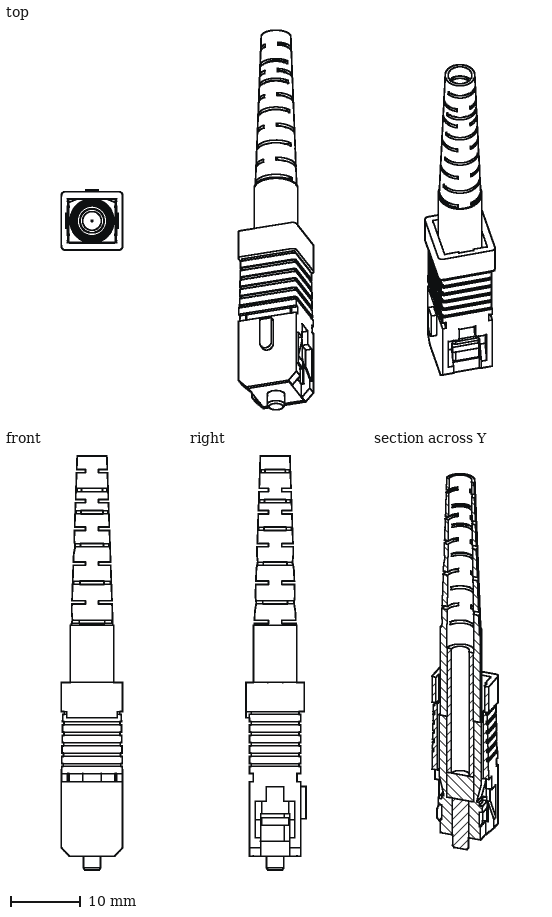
import cadquery as cq

CUT = 1.0

HOUSING_X = 8.81
BLOCK_Y = 7.35
HEAD_Y = 8.4
FRONT_CHAMFER_X = 1.2
FRONT_CHAMFER_Z = 1.25
NECK_BOTTOM = 10.73
NECK_TOP = 11.85
GRIP_BOTTOM = 12.9
GRIP_TOP = 20.75
GRIP_TOP_X = 8.4
GRIP_CORNER = 0.35
HEAD_TOP = 24.95
HEAD_CORNER = 0.6
LIP_BOTTOM = 19.86
LIP_X = 7.2

GROOVE_COUNT = 6
GROOVE_PITCH = 1.5
GROOVE_WIDTH = 0.45
GROOVE_DEPTH = 0.22
FIRST_GROOVE_Z = 13.07

BORE_X = 7.0
BORE_Y = 6.3
TIP_X = 6.24
TIP_TOP = 2.15
RELIEF_X = 7.45
RELIEF_Y = 2.15

WINDOW_Y = 4.12
WINDOW_TOP = 7.87
UPPER_WINDOW_Y = 2.5
UPPER_WINDOW_TOP = 10.0
SLIT_Y = 5.65
SLIT_RAMP_TOP = 5.27
SLIT_RAMP_BOTTOM = 2.68

KEY_X = 1.75
KEY_BOTTOM = 5.37
KEY_TOP = 10.05
KEY_OUTER_Y = 8.65 - HEAD_Y / 2

FRAME_X = 6.6
FRAME_Y = 6.26
FRAME_TOP = 19.0
FRAME_CHAMFER_X = 1.15
FRAME_CHAMFER_Y = 0.5
FRAME_CHAMFER_BOTTOM = 12.0
FRAME_GROOVE_X = 2.68
FRAME_GROOVE_DEPTH = 0.15
RECESS_FLOOR_X = 2.95
RECESS_RAMP_FLOOR_X = 2.55
RECESS_RAMP_BOTTOM = 6.08
RECESS_RAMP_TOP = 9.1
RECESS_SLOPE_START_Y = 1.34
RECESS_SLOPE_DROP = 0.4
CATCH_BOTTOM = 4.47
CATCH_TOP = 5.55
CATCH_OUTER_X = 3.45
CATCH_Y = 3.85

FERRULE_RADIUS = 1.25
FERRULE_TIP_Z = -1.97
FERRULE_TOP = 6.0
FERRULE_CHAMFER_RADIAL = 0.22
FERRULE_CHAMFER_AXIAL = 0.35
HOLDER_TOP = 10.0
FIBRE_HOLE_RADIUS = 0.1
TUBE_OUTER_RADIUS = 2.05
TUBE_BORE_RADIUS = 1.34
TUBE_TOP = 30.0

BOOT_RADIUS = 3.13
BOOT_TOP = FERRULE_TIP_Z + 59.36
CONE_BOTTOM = 33.15
CONE_BOTTOM_RADIUS = 3.0
CONE_TOP_RADIUS = 2.14
BOOT_TOP_BORE_RADIUS = 1.7
SLOT_HEIGHT = 0.45
SLOT_RIB_WIDTH = 1.9
X_SIDE_SLOTS_Z = (36.4, 41.95, 46.95, 50.9, 55.2)
Y_SIDE_SLOTS_Z = (33.6, 39.2, 44.6, 49.3, 52.5)


def box(x, y, z_bottom, z_top):
    """A box centred on the Z axis."""
    return cq.Workplane("XY").workplane(offset=z_bottom).rect(x, y).extrude(z_top - z_bottom)


def span(x_range, y_range, z_range):
    """A box between two coordinates on each axis."""
    low, high = zip(x_range, y_range, z_range)
    size = [b - a for a, b in zip(low, high)]
    return cq.Workplane("XY").box(*size, centered=False).translate(low)


def cylinder(radius, z_bottom, z_top):
    return cq.Workplane("XY").workplane(offset=z_bottom).circle(radius).extrude(z_top - z_bottom)


def side_prism(points, width):
    """An XZ outline extruded along Y, centred on the XZ plane."""
    return cq.Workplane("XZ").polyline(points).close().extrude(width / 2, both=True)


def mirrored_pair(shape):
    """A shape on the +X side together with its mirror image on the -X side."""
    return shape.union(shape.mirror("YZ"))


def front_block():
    half = HOUSING_X / 2
    outline = [
        (half - FRONT_CHAMFER_X, 0),
        (half, FRONT_CHAMFER_Z),
        (half, NECK_BOTTOM),
        (-half, NECK_BOTTOM),
        (-half, FRONT_CHAMFER_Z),
        (FRONT_CHAMFER_X - half, 0),
    ]
    return side_prism(outline, BLOCK_Y)


def tapered_x(z):
    """Width along X of the part that narrows from the neck up to the head."""
    share = (z - NECK_BOTTOM) / (GRIP_TOP - NECK_BOTTOM)
    return HOUSING_X + share * (GRIP_TOP_X - HOUSING_X)


def tapered_length(z_bottom, z_top):
    return (
        cq.Workplane("XY")
        .workplane(offset=z_bottom)
        .rect(tapered_x(z_bottom), BLOCK_Y)
        .workplane(offset=z_top - z_bottom)
        .rect(tapered_x(z_top), BLOCK_Y)
        .loft(ruled=True)
    )


def grip_groove(z):
    """A ring that cuts one groove around the grip."""
    local_x = tapered_x(z)
    bottom = z - GROOVE_WIDTH / 2
    top = z + GROOVE_WIDTH / 2
    core = box(local_x - 2 * GROOVE_DEPTH, BLOCK_Y - 2 * GROOVE_DEPTH, bottom, top)
    return box(HOUSING_X + CUT, BLOCK_Y + CUT, bottom, top).cut(core)


def grip():
    body = tapered_length(GRIP_BOTTOM, GRIP_TOP).edges("not(|X or |Y)").fillet(GRIP_CORNER)
    for i in range(GROOVE_COUNT):
        body = body.cut(grip_groove(FIRST_GROOVE_Z + i * GROOVE_PITCH))
    return body


def head():
    body = box(HOUSING_X, HEAD_Y, GRIP_TOP, HEAD_TOP).edges("|Z").fillet(HEAD_CORNER)
    lip = span((-LIP_X / 2, LIP_X / 2), (-HEAD_Y / 2, -BORE_Y / 2), (LIP_BOTTOM, GRIP_TOP))
    return body.union(lip)


def polarising_key():
    """A key on the +Y face with a fully rounded lower end."""
    radius = KEY_X / 2
    return (
        cq.Workplane("XZ", origin=(0, BORE_Y / 2, 0))
        .moveTo(-radius, KEY_TOP)
        .lineTo(radius, KEY_TOP)
        .lineTo(radius, KEY_BOTTOM + radius)
        .threePointArc((0, KEY_BOTTOM), (-radius, KEY_BOTTOM + radius))
        .close()
        .extrude(BORE_Y / 2 - KEY_OUTER_Y)
    )


def neck_openings():
    """Slots across both Y walls that open the bore."""
    slot = span((-HOUSING_X, HOUSING_X), (BORE_Y / 2, HEAD_Y), (NECK_BOTTOM, NECK_TOP))
    return slot.union(slot.mirror("XZ"))


def side_window():
    """The stepped +X window, with a ramped slit along each side."""
    inner = TIP_X / 2
    outer = HOUSING_X / 2
    main = span((inner, outer + CUT), (-WINDOW_Y / 2, WINDOW_Y / 2), (-CUT, WINDOW_TOP))
    upper = span(
        (inner, outer + CUT), (-UPPER_WINDOW_Y / 2, UPPER_WINDOW_Y / 2), (WINDOW_TOP, UPPER_WINDOW_TOP)
    )
    slit_outline = [
        (inner, WINDOW_TOP),
        (inner, SLIT_RAMP_TOP),
        (BORE_X / 2, SLIT_RAMP_TOP),
        (outer, SLIT_RAMP_BOTTOM),
        (outer, WINDOW_TOP),
    ]
    return main.union(upper).union(side_prism(slit_outline, SLIT_Y))


def make_housing():
    bore = box(BORE_X, BORE_Y, TIP_TOP, HEAD_TOP + CUT)
    bore = bore.union(box(TIP_X, BORE_Y, -CUT, TIP_TOP))
    bore = bore.union(box(RELIEF_X, RELIEF_Y, GRIP_TOP, HEAD_TOP + CUT))
    neck = tapered_length(NECK_BOTTOM, GRIP_BOTTOM)
    body = front_block().union(neck).union(grip()).union(head()).union(polarising_key())
    return body.cut(bore).cut(neck_openings()).cut(mirrored_pair(side_window()))


def frame_recess():
    """The +X recess: a floor that slopes off toward +Y, below a ramp up to the frame's side face."""
    side = FRAME_X / 2
    half_y = WINDOW_Y / 2
    floor = (
        cq.Workplane("XY")
        .workplane(offset=TIP_TOP)
        .polyline([
            (side + CUT, -half_y),
            (RECESS_FLOOR_X, -half_y),
            (RECESS_FLOOR_X, RECESS_SLOPE_START_Y),
            (RECESS_FLOOR_X - RECESS_SLOPE_DROP, half_y),
            (side + CUT, half_y),
        ])
        .close()
        .extrude(RECESS_RAMP_BOTTOM - TIP_TOP)
    )
    ramp = side_prism(
        [(RECESS_RAMP_FLOOR_X, RECESS_RAMP_BOTTOM), (side, RECESS_RAMP_BOTTOM), (side, RECESS_RAMP_TOP)],
        CATCH_Y,
    )
    return floor.union(ramp)


def frame_catch():
    """A bar across the +X recess that catches the mating adapter."""
    return span(
        (RECESS_FLOOR_X - RECESS_SLOPE_DROP, CATCH_OUTER_X),
        (-CATCH_Y / 2, CATCH_Y / 2),
        (CATCH_BOTTOM, CATCH_TOP),
    )


def frame_corner():
    """The +X +Y corner cut off the upper part of the frame."""
    side = FRAME_X / 2
    back = FRAME_Y / 2
    return (
        cq.Workplane("XY")
        .workplane(offset=FRAME_CHAMFER_BOTTOM)
        .polyline([(side, back - FRAME_CHAMFER_Y), (side, back), (side - FRAME_CHAMFER_X, back)])
        .close()
        .extrude(FRAME_TOP - FRAME_CHAMFER_BOTTOM)
    )


def make_plug_frame():
    body = box(FRAME_X, FRAME_Y, TIP_TOP, FRAME_TOP).union(box(TIP_X, FRAME_Y, 0, TIP_TOP))
    body = body.cut(mirrored_pair(frame_recess())).union(mirrored_pair(frame_catch()))
    body = body.cut(mirrored_pair(frame_corner()))
    face_groove = span(
        (-FRAME_GROOVE_X / 2, FRAME_GROOVE_X / 2),
        (-FRAME_Y / 2 - CUT, -FRAME_Y / 2 + FRAME_GROOVE_DEPTH),
        (TIP_TOP, FRAME_TOP),
    )
    body = body.cut(face_groove)
    body = body.cut(cylinder(FERRULE_RADIUS, -CUT, FERRULE_TOP))
    return body.cut(cylinder(TUBE_OUTER_RADIUS, FERRULE_TOP, FRAME_TOP + CUT))


def make_ferrule():
    body = cylinder(FERRULE_RADIUS, FERRULE_TIP_Z, FERRULE_TOP)
    return body.faces("<Z").chamfer(FERRULE_CHAMFER_AXIAL, FERRULE_CHAMFER_RADIAL)


def make_ferrule_holder():
    body = cylinder(TUBE_OUTER_RADIUS, FERRULE_TOP, HOLDER_TOP)
    return body.cut(cylinder(FIBRE_HOLE_RADIUS, FERRULE_TOP, HOLDER_TOP))


def make_crimp_tube():
    body = cylinder(TUBE_OUTER_RADIUS, HOLDER_TOP, TUBE_TOP)
    return body.cut(cylinder(TUBE_BORE_RADIUS, HOLDER_TOP, TUBE_TOP))


def boot_slot(z):
    """Slots from both X sides that leave a rib at the -Y side and one at the +Y side."""
    slot = span(
        (SLOT_RIB_WIDTH / 2, BOOT_RADIUS + CUT),
        (-BOOT_RADIUS - CUT, BOOT_RADIUS + CUT),
        (z - SLOT_HEIGHT / 2, z + SLOT_HEIGHT / 2),
    )
    return mirrored_pair(slot)


def make_boot():
    body = (
        cq.Workplane("XZ")
        .polyline([
            (TUBE_OUTER_RADIUS, FRAME_TOP),
            (BOOT_RADIUS, FRAME_TOP),
            (BOOT_RADIUS, CONE_BOTTOM),
            (CONE_BOTTOM_RADIUS, CONE_BOTTOM),
            (CONE_TOP_RADIUS, BOOT_TOP),
            (BOOT_TOP_BORE_RADIUS, BOOT_TOP),
            (TUBE_OUTER_RADIUS, CONE_BOTTOM),
        ])
        .close()
        .revolve(360, (0, 0, 0), (0, 1, 0))
    )
    for z in X_SIDE_SLOTS_Z:
        body = body.cut(boot_slot(z))
    for z in Y_SIDE_SLOTS_Z:
        body = body.cut(boot_slot(z).rotate((0, 0, 0), (0, 0, 1), 90))
    return body


housing = make_housing()
plug_frame = make_plug_frame()
ferrule = make_ferrule()
ferrule_holder = make_ferrule_holder()
crimp_tube = make_crimp_tube()
boot = make_boot()

result = cq.Compound.makeCompound([
    housing.val(),
    plug_frame.val(),
    ferrule.val(),
    ferrule_holder.val(),
    crimp_tube.val(),
    boot.val(),
])